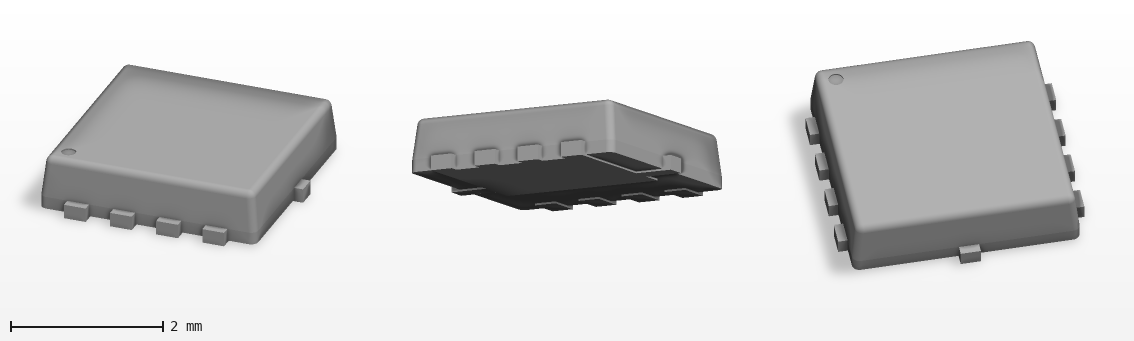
import cadquery as cq

overall_size = 3.3
overall_height = 0.76

body_size = 3.05
standoff = 0.025
draft_start_z = 0.198
draft_angle = 6.0
edge_radius = 0.1

frame_thickness = draft_start_z
lead_count = 4
lead_pitch = 0.65
lead_width = 0.307
front_lead_length = 0.48
tab_width = 0.27
tab_center_y = 0.025
pad_front_y = -0.42

dimple_radius = 0.1
dimple_center = -1.225
dimple_depth = 0.02


def frame_block(x_min, x_max, y_min, y_max):
    """Flat block of the lead frame, resting on the seating plane."""
    return cq.Workplane("XY").box(
        x_max - x_min, y_max - y_min, frame_thickness, centered=False
    ).translate((x_min, y_min, 0))


def moulded_body():
    """Straight base band topped by drafted walls, with rounded corners and top rim."""
    base = (
        cq.Workplane("XY").workplane(offset=standoff)
        .rect(body_size, body_size)
        .extrude(draft_start_z - standoff)
        .edges("|Z").fillet(edge_radius)
    )
    upper = (
        cq.Workplane("XY").workplane(offset=draft_start_z)
        .rect(body_size, body_size)
        .extrude(overall_height - draft_start_z, taper=draft_angle)
        .edges("not <Z").fillet(edge_radius)
    )
    return base.union(upper)


def lead_frame():
    """Front leads, plus the exposed pad with its rear leads and side tabs."""
    half_size = overall_size / 2
    half_row = (lead_count - 1) * lead_pitch / 2
    pad_half_width = half_row + lead_width / 2
    frame = frame_block(-pad_half_width, pad_half_width, pad_front_y, body_size / 2)
    frame = frame.union(frame_block(
        -half_size, half_size, tab_center_y - tab_width / 2, tab_center_y + tab_width / 2
    ))
    for index in range(lead_count):
        x_min = index * lead_pitch - half_row - lead_width / 2
        x_max = x_min + lead_width
        frame = frame.union(frame_block(x_min, x_max, -half_size, front_lead_length - half_size))
        frame = frame.union(frame_block(x_min, x_max, pad_front_y, half_size))
    return frame


def pin_one_dimple():
    """Shallow round recess beside the first lead."""
    return (
        cq.Workplane("XY").workplane(offset=overall_height - dimple_depth)
        .center(dimple_center, dimple_center)
        .circle(dimple_radius)
        .extrude(dimple_depth)
    )


result = moulded_body().union(lead_frame()).cut(pin_one_dimple())